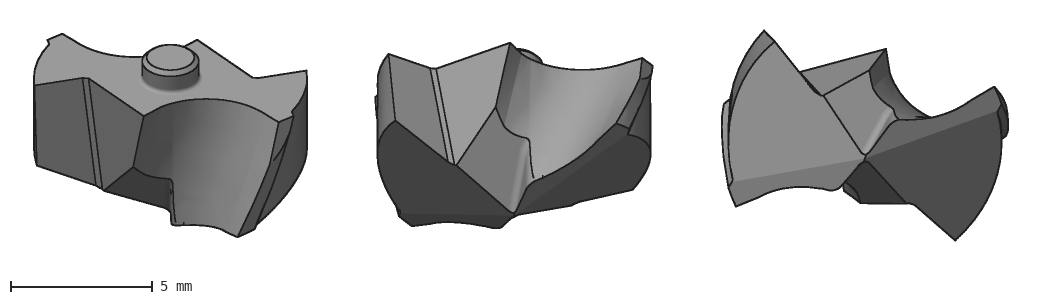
import cadquery as cq
import math

body_height = 5.49
reach = 7.06

margin_radius = 5.05
clearance_radius = 4.81
twist_per_unit = 6.343
margin_start_angle = 14.1
margin_end_angle = 21.6
clearance_start_angle = 24.6
section_end_angle = 110.0

flute_outer = (3.96, 1.16)
flute_middle = (2.07, 0.37)
flute_inner = (1.3, -1.41)
flute_exit = (1.49, -3.03)

web_half_width = 2.29
notch_corner_x = 1.76
notch_blend = 0.15
notch_face_top = (2.55, 4.07)
notch_lean = 0.1875

point_rise = 0.354
primary_drop = 0.1
secondary_rise = 0.4
gash_rise_x = 1.09
gash_rise_y = 0.96

gash_wall_end = (1.08, -0.82)
gash_lip = (1.77, -0.8)
gash_radius = 0.26
void_end = (reach, -1.31)

gash_depth = gash_rise_x * gash_wall_end[0] - gash_rise_y * gash_wall_end[1]
edge_tolerance = 0.005

shoulder_half_width = 4.64
shoulder_height = 1.39

stud_radius = 1.0
stud_height = 0.86
stud_chamfer = 0.16
stud_foot = 0.14


def polar(radius, angle):
    return radius * math.cos(math.radians(angle)), radius * math.sin(math.radians(angle))


def opposite(point):
    return -point[0], -point[1]


def half_turn(shape):
    return shape.rotate((0, 0, 0), (0, 0, 1), 180)


def twisted_body():
    """Body with helical flutes, before the notches and the point are cut."""
    clearance_middle = (clearance_start_angle + section_end_angle) / 2
    margin_middle = (margin_start_angle + margin_end_angle) / 2

    section = cq.Workplane("XY").workplane(offset=-body_height)
    section = section.moveTo(*opposite(polar(clearance_radius, section_end_angle)))
    for side in (1, -1):
        def place(point):
            return side * point[0], side * point[1]

        section = (
            section.lineTo(*place(flute_exit))
            .lineTo(*place(flute_inner))
            .threePointArc(place(flute_middle), place(flute_outer))
            .lineTo(*place(polar(margin_radius, margin_start_angle)))
            .threePointArc(
                place(polar(margin_radius, margin_middle)),
                place(polar(margin_radius, margin_end_angle)),
            )
            .lineTo(*place(polar(clearance_radius, clearance_start_angle)))
            .threePointArc(
                place(polar(clearance_radius, clearance_middle)),
                place(polar(clearance_radius, section_end_angle)),
            )
        )
    twist = twist_per_unit * body_height
    return section.close().twistExtrude(body_height, twist).rotate((0, 0, 0), (0, 0, 1), -twist)


def notch():
    """Leaning wedge between the web flat and the back face of the +X wing."""
    root = (notch_corner_x + notch_blend, web_half_width + notch_blend)
    slope = (notch_face_top[0] - root[0]) / (notch_face_top[1] - root[1])
    outline = [
        (-reach, web_half_width),
        (notch_corner_x, web_half_width),
        root,
        (root[0] + slope * (reach - root[1]), reach),
        (-reach, reach),
    ]
    shift = notch_lean * body_height
    lower_outline = [(x - shift, y) for x, y in outline]
    return (
        cq.Workplane("XY").polyline(outline).close()
        .workplane(offset=-body_height).polyline(lower_outline).close()
        .loft(ruled=True)
    )


def shoulder():
    """Wedge outside the sloping shoulder flat on the +X side."""
    return (
        cq.Workplane("XZ")
        .polyline([(shoulder_half_width, 0), (margin_radius, -shoulder_height), (margin_radius, 0)])
        .close().extrude(reach, both=True)
    )


def below_point_plane(rise_x, rise_y):
    """Everything under a plane through the point of the drill."""
    plane = cq.Plane(origin=(0, 0, -body_height), xDir=(1, 0, rise_x), normal=(-rise_x, -rise_y, 1))
    return cq.Workplane(plane).rect(4 * reach, 4 * reach).extrude(-2 * reach)


def tangent_arc_middle(start, end):
    """Middle of the arc from start to end that leaves the radial line through start smoothly."""
    chord_x = end[0] - start[0]
    chord_y = end[1] - start[1]
    turn = math.atan2(chord_y, chord_x) - math.atan2(start[1], start[0])
    bulge = math.tan(turn / 2) / 2
    return (
        (start[0] + end[0]) / 2 + bulge * chord_y,
        (start[1] + end[1]) / 2 - bulge * chord_x,
    )


def wing_region():
    """Half of the plan holding the -X wing, bounded by the two gash walls."""
    gash_round = tangent_arc_middle(gash_wall_end, gash_lip)
    return (
        cq.Workplane("XY").workplane(offset=-2 * body_height)
        .moveTo(*opposite(void_end))
        .lineTo(*opposite(gash_lip))
        .threePointArc(opposite(gash_round), opposite(gash_wall_end))
        .lineTo(*gash_wall_end)
        .threePointArc(gash_round, gash_lip)
        .lineTo(*void_end)
        .lineTo(reach, -reach).lineTo(-reach, -reach).close()
        .extrude(2 * body_height)
    )


def gash(region):
    """Space under the gash floor, rounded where the floor meets the gash wall."""
    space = region.intersect(below_point_plane(gash_rise_x, -gash_rise_y))
    root_low = (*opposite(gash_wall_end), -body_height - gash_depth)
    root_high = (*gash_wall_end, -body_height + gash_depth)
    root = [
        edge for edge in space.edges("not #Z").vals()
        if all(edge.distance(cq.Vertex.makeVertex(*end)) < edge_tolerance for end in (root_low, root_high))
    ]
    return space.newObject(root).fillet(gash_radius)


def stud():
    """Round stud with a chamfered end and a filleted foot."""
    foot_corner = stud_foot * (1 - math.sqrt(0.5))
    return (
        cq.Workplane("XZ")
        .moveTo(0, -stud_foot).lineTo(stud_radius + stud_foot, -stud_foot)
        .lineTo(stud_radius + stud_foot, 0)
        .threePointArc((stud_radius + foot_corner, foot_corner), (stud_radius, stud_foot))
        .lineTo(stud_radius, stud_height - stud_chamfer)
        .lineTo(stud_radius - stud_chamfer, stud_height)
        .lineTo(0, stud_height).close()
        .revolve(360, (0, 0, 0), (0, 1, 0))
    )


body = twisted_body()
for cutter in (notch(), shoulder()):
    body = body.cut(cutter).cut(half_turn(cutter))

region = wing_region()
wing = body.intersect(region).cut(gash(region))
wing = wing.cut(below_point_plane(-point_rise, -secondary_rise))
result = wing.union(half_turn(wing))

primary_space = below_point_plane(-point_rise, -primary_drop)
result = result.cut(primary_space).cut(half_turn(primary_space))
result = result.union(stud())